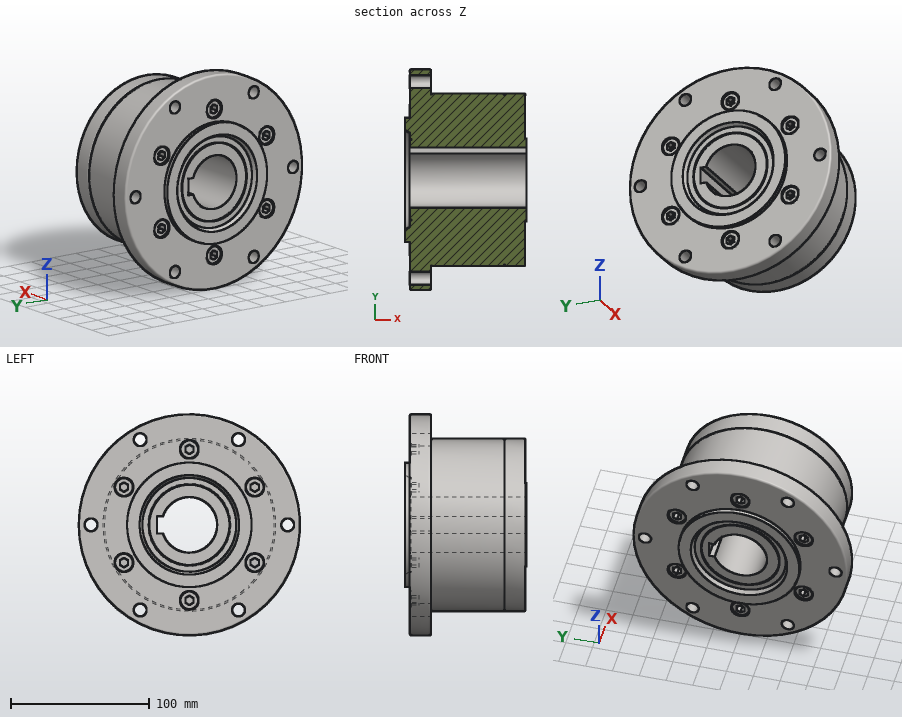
import cadquery as cq
import math

overall_length = 88.0
pilot_length = 3.5
flange_back = 19.0
collar_length = 1.0
joint_position = 72.0
end_face = overall_length - collar_length

flange_diameter = 160.0
body_diameter = 125.0
pilot_diameter = 90.0
collar_diameter = 60.2
bore_diameter = 40.0

flange_fillet = 1.6
ring_fillet = 1.1

recess_mouth_diameter = 72.0
recess_floor_diameter = 67.8
recess_depth = pilot_length
ring_groove_outer_diameter = 58.5
ring_groove_width = 0.3
ring_groove_depth = 1.0

keyway_width = 12.3
keyway_reach = 23.4

ring_count = 6
mounting_circle_diameter = 142.0
mounting_hole_diameter = 9.1
screw_circle_diameter = 109.1
screw_pocket_diameter = 13.6
screw_head_diameter = 12.8
screw_pocket_depth = 1.5
screw_head_recess = 0.5
socket_across_flats = 6.0
socket_depth = 6.4


def disc(start, length, diameter):
    """Cylinder on the X axis."""
    return cq.Workplane("YZ", origin=(start, 0, 0)).circle(diameter / 2).extrude(length)


def tube(start, length, outer_diameter, inner_diameter):
    """Hollow cylinder on the X axis."""
    plane = cq.Workplane("YZ", origin=(start, 0, 0))
    return plane.circle(outer_diameter / 2).circle(inner_diameter / 2).extrude(length)


def revolve_about_x(points):
    """Turn a closed (x, radius) outline about the X axis."""
    return cq.Workplane("XY").polyline(points).close().revolve(360, (0, 0, 0), (1, 0, 0))


def ring_of_points(circle_diameter, start_angle):
    """Equally spaced (y, z) places on a circle."""
    radius = circle_diameter / 2
    angles = [math.radians(start_angle + i * 360 / ring_count) for i in range(ring_count)]
    return [(radius * math.cos(angle), radius * math.sin(angle)) for angle in angles]


def rounded_ring(start, end, diameter, fillet_radius):
    """Disc with both rims rounded."""
    return disc(start, end - start, diameter).edges().fillet(fillet_radius)


def housing():
    """Flange and two body rings stacked on a plain core, before the bore is cut."""
    flange = rounded_ring(pilot_length, flange_back, flange_diameter, flange_fillet)
    body = rounded_ring(flange_back, joint_position, body_diameter, ring_fillet)
    end_ring = rounded_ring(joint_position, end_face, body_diameter, ring_fillet)
    pilot = disc(0, flange_back, pilot_diameter)
    collar = disc(flange_back, overall_length - flange_back, collar_diameter)
    return flange.union(body).union(end_ring).union(pilot).union(collar)


def recess():
    """Conical recess with a thin ring groove in its floor."""
    cone = revolve_about_x([
        (0, 0),
        (0, recess_mouth_diameter / 2),
        (recess_depth, recess_floor_diameter / 2),
        (recess_depth, 0),
    ])
    ring_inner_diameter = ring_groove_outer_diameter - 2 * ring_groove_width
    return cone.union(tube(recess_depth, ring_groove_depth, ring_groove_outer_diameter, ring_inner_diameter))


def keyed_bore():
    """Through bore with its rectangular keyway."""
    keyway = cq.Workplane("XY").box(overall_length, keyway_reach, keyway_width, centered=(False, False, True))
    return disc(0, overall_length, bore_diameter).union(keyway)


def mounting_holes():
    """Through holes near the flange rim, two of them on the Y axis."""
    places = ring_of_points(mounting_circle_diameter, 0)
    plane = cq.Workplane("YZ", origin=(pilot_length, 0, 0)).pushPoints(places)
    return plane.circle(mounting_hole_diameter / 2).extrude(flange_back - pilot_length)


def screw_cuts():
    """Pocket around each slightly sunk screw head, and its hexagon socket."""
    places = ring_of_points(screw_circle_diameter, 90)
    head_face = pilot_length + screw_head_recess
    flange_plane = cq.Workplane("YZ", origin=(pilot_length, 0, 0)).pushPoints(places)
    head_plane = cq.Workplane("YZ", origin=(head_face, 0, 0))
    pockets = flange_plane.circle(screw_pocket_diameter / 2).extrude(screw_pocket_depth)
    heads = head_plane.pushPoints(places).circle(screw_head_diameter / 2).extrude(screw_pocket_depth)
    socket_corner_radius = socket_across_flats / 2 / math.cos(math.pi / 6)
    hexagons = cq.Sketch().push(places).regularPolygon(socket_corner_radius, 6)
    sockets = head_plane.placeSketch(hexagons).extrude(socket_depth)
    return pockets.cut(heads).union(sockets)


result = housing()
for cut in (recess(), keyed_bore(), mounting_holes(), screw_cuts()):
    result = result.cut(cut)